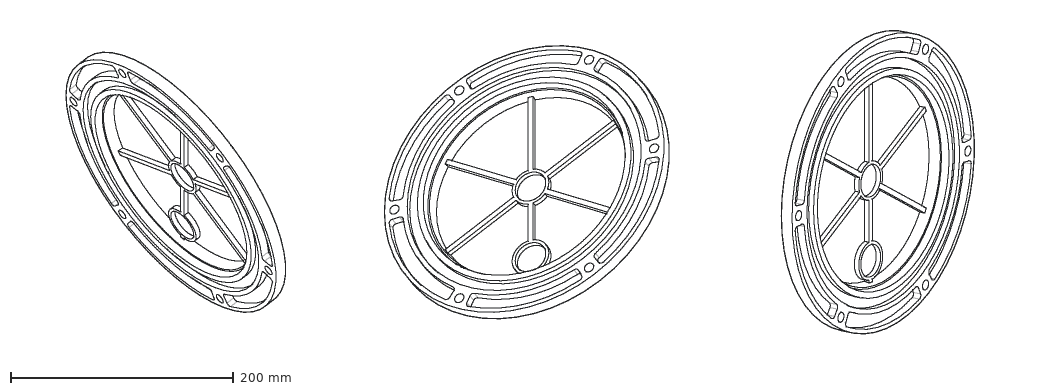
import cadquery as cq
import math

flange_back = 12.0
bolt_boss_back = 13.0
dome_back = 23.0
pad_back = 24.0

flange_diameter = 275
bolt_count = 6
bolt_circle_radius = 127.5
bolt_hole_diameter = 9.0
bolt_boss_diameter = 13.0

pocket_outer_radius = 133.5
pocket_inner_radius = 119.5
pocket_depth = 8.2
pocket_corner_radius = 3.3
pocket_end_gap = 9.5

groove_outer_diameter = 230.0
groove_inner_diameter = 210.0
groove_depth = 5.5

draft_angle = 15
dome_base_diameter = 210.0

cavity_mouth_radius = 99.3
ledge_outer_radius = 98.2
ledge_inner_radius = 96.5
ledge_depth = 7.7
cavity_floor_radius = 94.5
cavity_depth = 19.0

rib_count = 6
rib_width = 5.0
stiffener_height = 5.0
hub_outer_diameter = 36.0
hub_bore_diameter = 30.0
lower_hub_z = -75.0

upper_pad_length = 129.2
upper_pad_height = 55.3
upper_pad_z = 53.4
lower_pad_diameter = 115.5
lower_pad_z = -43.0


def plane_at(y, x=0, z=0):
    """Sketch plane facing +Y, with sketch x along -X and sketch y along +Z."""
    return cq.Workplane(cq.Plane(origin=(x, y, z), xDir=(-1, 0, 0), normal=(0, 1, 0)))


def disc(radius, y_start, y_end, x=0, z=0):
    return plane_at(y_start, x, z).circle(radius).extrude(y_end - y_start)


def around_axis(shape, count):
    """Copies of a shape spread evenly about the Y axis, joined."""
    copies = cq.Workplane()
    for i in range(count):
        angle = i * 360 / count
        copies = copies.add(shape.rotate((0, 0, 0), (0, 1, 0), angle))
    return copies.combine()


def pocket():
    """Arc-shaped pocket centred on +Z, with radial ends and rounded corners."""
    half_angle = math.pi / bolt_count - pocket_end_gap / bolt_circle_radius

    def at(radius, angle):
        return (radius * math.sin(angle), radius * math.cos(angle))

    return (
        plane_at(0)
        .moveTo(*at(pocket_outer_radius, -half_angle))
        .threePointArc(at(pocket_outer_radius, 0), at(pocket_outer_radius, half_angle))
        .lineTo(*at(pocket_inner_radius, half_angle))
        .threePointArc(at(pocket_inner_radius, 0), at(pocket_inner_radius, -half_angle))
        .close()
        .extrude(pocket_depth)
        .edges("|Y")
        .fillet(pocket_corner_radius)
    )


body = disc(flange_diameter / 2, 0, flange_back)
dome = (
    plane_at(flange_back)
    .circle(dome_base_diameter / 2)
    .extrude(dome_back - flange_back, taper=draft_angle)
)
body = body.union(dome)

bolt_boss = disc(bolt_boss_diameter / 2, 0, bolt_boss_back, x=bolt_circle_radius)
body = body.union(around_axis(bolt_boss, bolt_count))

upper_pad = plane_at(dome_back, z=upper_pad_z).slot2D(upper_pad_length, upper_pad_height)
body = body.union(upper_pad.extrude(pad_back - dome_back))
body = body.union(disc(lower_pad_diameter / 2, dome_back, pad_back, z=lower_pad_z))

cavity = (
    cq.Workplane("XY")
    .moveTo(0, 0)
    .lineTo(cavity_mouth_radius, 0)
    .lineTo(ledge_outer_radius, ledge_depth)
    .lineTo(ledge_inner_radius, ledge_depth)
    .lineTo(cavity_floor_radius, cavity_depth)
    .lineTo(0, cavity_depth)
    .close()
    .revolve(360, (0, 0, 0), (0, 1, 0))
)
body = body.cut(cavity)

stiffener_front = cavity_depth - stiffener_height
rib_length = cavity_mouth_radius
rib = (
    plane_at(stiffener_front)
    .center(0, rib_length / 2)
    .rect(rib_width, rib_length)
    .extrude(stiffener_height)
)
stiffeners = around_axis(rib, rib_count)
for hub_z in (0, lower_hub_z):
    stiffeners = stiffeners.union(disc(hub_outer_diameter / 2, stiffener_front, cavity_depth, z=hub_z))
    stiffeners = stiffeners.cut(disc(hub_bore_diameter / 2, stiffener_front, cavity_depth, z=hub_z))
body = body.union(stiffeners.intersect(cavity))

groove = disc(groove_outer_diameter / 2, 0, groove_depth)
groove = groove.cut(disc(groove_inner_diameter / 2, 0, groove_depth))
body = body.cut(groove)

body = body.cut(around_axis(pocket(), bolt_count))
bolt_hole = disc(bolt_hole_diameter / 2, 0, bolt_boss_back, x=bolt_circle_radius)
result = body.cut(around_axis(bolt_hole, bolt_count))